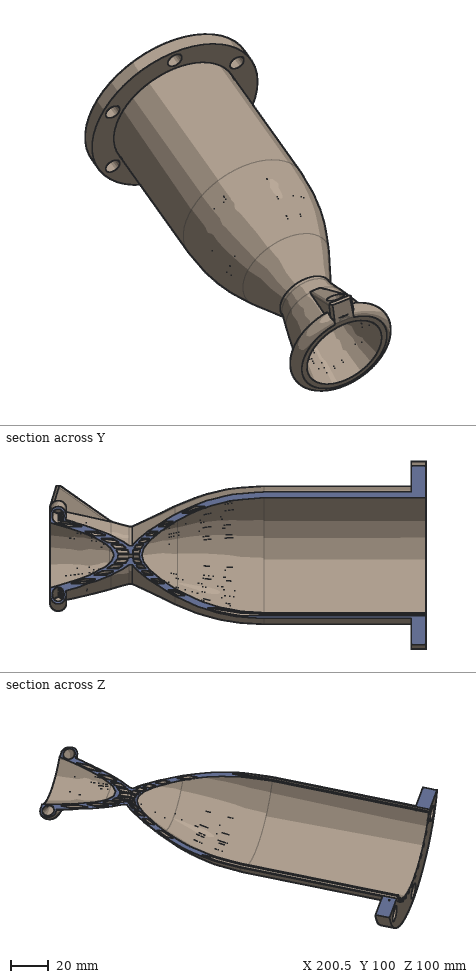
import cadquery as cq
import math


total_length = 200.5

flange_diameter = 100.0
flange_thickness = 8.0
bolt_hole_diameter = 8.5
bolt_circle_radius = 43.3
bolt_count = 6

chamber_diameter = 73.8
bore_diameter = 67.5
wall_thickness = (chamber_diameter - bore_diameter) / 2
chamber_end_x = 86.6
converging_radius = 110.3
converging_angle = math.radians(25.5)
throat_radius = 15.5
throat_length = 1.8
flare_angle = math.radians(15.5)
flare_length = 9.6
bell_radius = 401.0

ring_tube_radius = 4.5
ring_hollow_radius = 3.0
ring_radius = 25.5
ring_x = total_length - ring_tube_radius

channel_count = 35
channel_width = 1.8
channel_height = 1.5
channel_outer_depth = 0.9

boss_top_z = 37.0
boss_top_front_x = 195.1
boss_top_back_x = 197.1
boss_end_angle = math.radians(17)
boss_front_width = 7.2
boss_back_width = 13.6
boss_edge_fillet = 1.2
boss_corner_chamfer = 1.6
port_diameter = 9.5

converging_end_x = chamber_end_x + converging_radius * math.sin(converging_angle)
converging_end_radius = chamber_diameter / 2 - converging_radius * (1 - math.cos(converging_angle))
throat_start_x = converging_end_x + (converging_end_radius - throat_radius) / math.tan(converging_angle)
throat_end_x = throat_start_x + throat_length
bell_start_x = throat_end_x + flare_length
bell_start_radius = throat_radius + flare_length * math.tan(flare_angle)
boss_slope = math.atan2(boss_top_z - bell_start_radius, boss_top_front_x - bell_start_x)


def arc_point(center, radius, angle):
    """Point on an arc whose tangent there makes the given angle with the X axis."""
    return (center[0] + radius * math.sin(angle), center[1] + radius * math.cos(angle))


def revolve_x(profile):
    return profile.close().revolve(360, (0, 0, 0), (1, 0, 0))


def wall_solid(depth, end_x):
    """Solid of revolution under the surface lying at a constant depth inside the outer wall."""
    converging_center = (chamber_end_x, chamber_diameter / 2 - converging_radius)
    converging_r = converging_radius - depth
    bell_center = (
        bell_start_x + bell_radius * math.sin(flare_angle),
        bell_start_radius - bell_radius * math.cos(flare_angle),
    )
    bell_r = bell_radius - depth
    bell_end_angle = math.asin((end_x - bell_center[0]) / bell_r)
    bell_mid_angle = (bell_end_angle - flare_angle) / 2
    throat_r = throat_radius - depth
    return revolve_x(
        cq.Workplane("XY")
        .lineTo(0, chamber_diameter / 2 - depth)
        .lineTo(chamber_end_x, chamber_diameter / 2 - depth)
        .threePointArc(
            arc_point(converging_center, converging_r, converging_angle / 2),
            arc_point(converging_center, converging_r, converging_angle),
        )
        .lineTo(throat_start_x - depth * math.tan(converging_angle / 2), throat_r)
        .lineTo(throat_end_x + depth * math.tan(flare_angle / 2), throat_r)
        .lineTo(*arc_point(bell_center, bell_r, -flare_angle))
        .threePointArc(
            arc_point(bell_center, bell_r, bell_mid_angle),
            arc_point(bell_center, bell_r, bell_end_angle),
        )
        .lineTo(end_x, 0)
    )


def ring(tube_radius):
    return cq.Workplane(cq.Solid.makeTorus(ring_radius, tube_radius, (ring_x, 0, 0), (1, 0, 0)))


def flange():
    return cq.Workplane("YZ").circle(flange_diameter / 2).extrude(flange_thickness)


def bolt_holes():
    return (
        cq.Workplane("YZ")
        .polarArray(bolt_circle_radius, 90, 360, bolt_count)
        .circle(bolt_hole_diameter / 2)
        .extrude(flange_thickness)
    )


def coolant_passages():
    """Channels that follow the wall from the flange face, joined to the hollow of the ring."""
    outer_band = wall_solid(channel_outer_depth, ring_x)
    inner_band = wall_solid(channel_outer_depth + channel_height, ring_x)
    slab = cq.Workplane("XY").box(ring_x, channel_width, flange_diameter, centered=(False, True, False))
    channel = outer_band.cut(inner_band).intersect(slab).val()
    pitch = 360 / channel_count
    channels = [channel.rotate((0, 0, 0), (1, 0, 0), index * pitch) for index in range(channel_count)]
    return cq.Workplane(ring(ring_hollow_radius).val().fuse(*channels))


def hollow_out(solid, passages):
    """Hollow the solid along passages that reach its surface only on the flat face at x = 0.

    The faces are sewn together directly, which is much quicker than a boolean cut.
    """
    pierced_face = solid.faces("<X").val().cut(*passages.faces("<X").vals())
    faces = solid.faces("not <X").vals() + passages.faces("not <X").vals() + pierced_face.Faces()
    return cq.Workplane(cq.Solid.makeSolid(cq.Shell.makeShell(faces)))


def inlet_boss():
    front_x = bell_start_x
    back_x = total_length
    back_z = boss_top_z - (back_x - boss_top_back_x) / math.tan(boss_end_angle)
    side = (
        cq.Workplane("XZ")
        .moveTo(front_x, 0)
        .lineTo(front_x, bell_start_radius)
        .lineTo(boss_top_front_x, boss_top_z)
        .lineTo(boss_top_back_x, boss_top_z)
        .lineTo(back_x, back_z)
        .lineTo(back_x, 0)
        .lineTo(front_x, 0)
        .close()
        .extrude(boss_back_width, both=True)
    )
    taper = (boss_back_width - boss_front_width) / 2 / (boss_top_back_x - front_x)
    far_half_width = boss_front_width / 2 + taper * (back_x - front_x)
    plan = (
        cq.Workplane("XY")
        .moveTo(front_x, boss_front_width / 2)
        .lineTo(back_x, far_half_width)
        .lineTo(back_x, -far_half_width)
        .lineTo(front_x, -boss_front_width / 2)
        .close()
        .extrude(flange_diameter / 2)
    )
    boss = side.intersect(plan)
    across_limit = math.sin(math.radians(45))
    end_normal = cq.Vector(math.cos(boss_end_angle), 0, math.sin(boss_end_angle))
    slope_normal = cq.Vector(-math.sin(boss_slope), 0, math.cos(boss_slope))

    def side_edges(normal):
        """Edges along both sides of the face with this normal, leaving out those that run across Y."""
        face = max(boss.faces().vals(), key=lambda candidate: candidate.normalAt().dot(normal))
        return [edge for edge in face.Edges() if abs(edge.tangentAt(0).y) < across_limit]

    boss = boss.newObject(side_edges(end_normal)).chamfer(boss_corner_chamfer)
    return boss.newObject(side_edges(slope_normal)).fillet(boss_edge_fillet)


def inlet_port():
    """Cylinder square to the boss slope, ending on the centre line of the ring hollow."""
    outward = cq.Vector(-math.sin(boss_slope), 0, math.cos(boss_slope))
    return cq.Workplane(
        cq.Solid.makeCylinder(port_diameter / 2, boss_top_z, cq.Vector(ring_x, 0, ring_radius), outward)
    )


body = wall_solid(0, total_length).union(flange()).union(ring(ring_tube_radius)).union(inlet_boss())
body = body.cut(wall_solid(wall_thickness, total_length)).cut(bolt_holes())
result = hollow_out(body, coolant_passages()).cut(inlet_port()).solids()